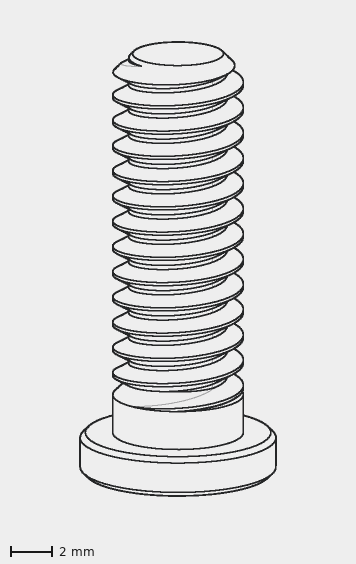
import cadquery as cq
import math

head_diameter = 9.525
head_thickness = 1.984
head_chamfer = 0.254
length_under_head = 19.05
plain_shank_length = 1.905
major_diameter = 6.35
pitch = 1.27
tip_diameter = 4.41
first_crest_rise = 0.24

flank_angle = math.radians(30)
sharp_thread_height = pitch / (2 * math.tan(flank_angle))
thread_depth = sharp_thread_height * 17 / 24
crest_width = pitch / 8
head_radius = head_diameter / 2
major_radius = major_diameter / 2
minor_radius = major_radius - thread_depth
tip_radius = tip_diameter / 2
shoulder_z = head_thickness + plain_shank_length
tip_z = head_thickness + length_under_head

lead_in_turns = 2
run_past_turns = 1
root_overlap = 0.1
trim_margin = 1.0


def revolve_about_z(outline):
    """Solid of revolution from (radius, z) points."""
    return cq.Workplane("XZ").polyline(outline).close().revolve(360, (0, 0), (0, 1))


def make_head():
    disc = cq.Workplane("XY").circle(head_radius).extrude(head_thickness)
    return disc.edges("%CIRCLE").chamfer(head_chamfer)


def make_core():
    """Plain shank, 45 degree run-out cone, then a cylinder at the thread root."""
    return revolve_about_z([
        (0, head_thickness),
        (major_radius, head_thickness),
        (major_radius, shoulder_z),
        (minor_radius, shoulder_z + thread_depth),
        (minor_radius, tip_z),
        (0, tip_z),
    ])


def make_ridge():
    """Right-hand helical ridge, running past both ends of the threaded length."""
    start_z = shoulder_z + first_crest_rise - lead_in_turns * pitch
    turns = math.ceil((tip_z - start_z) / pitch) + run_past_turns
    root_radius = minor_radius - root_overlap
    half_crest = crest_width / 2
    half_root = half_crest + (major_radius - root_radius) * math.tan(flank_angle)
    helix = cq.Wire.makeHelix(pitch, turns * pitch, major_radius)
    profile = (
        cq.Workplane("XZ")
        .moveTo(root_radius, -half_root)
        .lineTo(major_radius, -half_crest)
        .lineTo(major_radius, half_crest)
        .lineTo(root_radius, half_root)
        .close()
    )
    ridge = profile.sweep(cq.Workplane(obj=helix), isFrenet=True)
    return ridge.translate((0, 0, start_z))


def make_thread():
    """The ridge, cut off flat at the shoulder and at the tip."""
    slab = cq.Workplane("XY").workplane(offset=shoulder_z)
    slab = slab.circle(major_radius + trim_margin).extrude(tip_z - shoulder_z)
    return make_ridge().intersect(slab)


def make_tip_envelope():
    """Space around the whole screw, closed at the top by the 45 degree tip chamfer."""
    outer_radius = head_radius + trim_margin
    return revolve_about_z([
        (0, -trim_margin),
        (outer_radius, -trim_margin),
        (outer_radius, tip_z - (outer_radius - tip_radius)),
        (tip_radius, tip_z),
        (0, tip_z),
    ])


threaded_shank = make_core().union(make_thread())
screw = make_head().union(threaded_shank)
result = screw.intersect(make_tip_envelope())